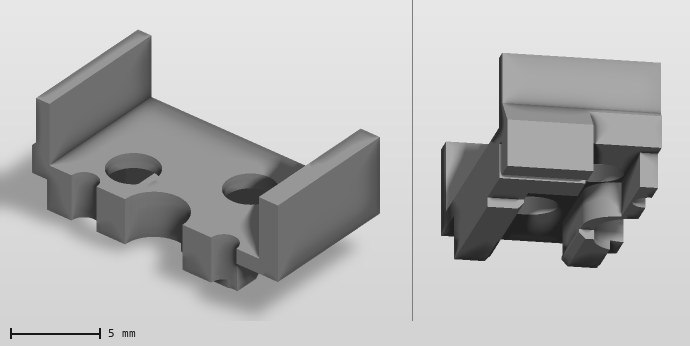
import cadquery as cq
import math

LENGTH = 18.8
WIDTH = 9.0
HEIGHT = 7.65

FLOOR_BOTTOM = 2.55
FLOOR_TOP = 3.55
WALL_LEFT = 1.43
WALL_LEFT_THICKNESS = 0.95
WALL_RIGHT_THICKNESS = 1.37

PAD_BOTTOM = 0.55
SHOULDER_BOTTOM = 3.27
SHOULDER_TOP = SHOULDER_BOTTOM + WALL_LEFT
FOOT_WIDTH = 1.6
FOOT_FRONT = 4.12
RECESS_DEPTH = 1.15

PAD_LEFT = 2.2
PAD_RIGHT = 15.17
FRONT_STRIP_DEPTH = 1.02
FRONT_PAD_BACK = 2.84
FRONT_ROUND_X = 9.4
REAR_PAD_FRONT = 6.92
REAR_CORNER_RIGHT = 4.51

HOLE_DIAMETER = 3.2
HOLE_CENTERS = [(6.22, 2.7), (12.6, 5.2)]
BAY_X = 9.89
BAY_RADIUS = 2.07
NOTCH_RADIUS = 0.9
NOTCH_OFFSET = 5.02

CATCH_FRONT = 0.83
CATCH_FRONT_TIP = 2.9
CATCH_REAR_TIP = REAR_PAD_FRONT
CATCH_FRONT_LEFT = 10.19
CATCH_REAR_LEFT = 5.7
CATCH_CHAMFER = 0.35


def box(x0, x1, y0, y1, z0, z1):
    """Box between opposite corner coordinates."""
    return cq.Workplane("XY").box(x1 - x0, y1 - y0, z1 - z0, centered=False).translate((x0, y0, z0))


def upright_cylinder(x, y, radius, z0, z1):
    return cq.Workplane("XY", origin=(x, y, z0)).circle(radius).extrude(z1 - z0)


def make_tray():
    """U-shaped section with the sloped left shoulder, along the full width."""
    left_inner = WALL_LEFT + WALL_LEFT_THICKNESS
    right_inner = LENGTH - WALL_RIGHT_THICKNESS
    outline = [
        (0, FLOOR_BOTTOM),
        (LENGTH, FLOOR_BOTTOM),
        (LENGTH, HEIGHT),
        (right_inner, HEIGHT),
        (right_inner, FLOOR_TOP),
        (left_inner, FLOOR_TOP),
        (left_inner, HEIGHT),
        (WALL_LEFT, HEIGHT),
        (WALL_LEFT, SHOULDER_TOP),
        (0, SHOULDER_BOTTOM),
    ]
    tray = cq.Workplane("XZ").polyline(outline).close().extrude(-WIDTH)
    return tray.cut(box(0, RECESS_DEPTH, 0, FOOT_FRONT, 0, HEIGHT))


def make_pads():
    """Foot and pads that carry the floor."""
    z_range = (PAD_BOTTOM, FLOOR_BOTTOM)
    foot = box(0, FOOT_WIDTH, FOOT_FRONT, WIDTH, *z_range)
    front_strip = box(PAD_LEFT, PAD_RIGHT, 0, FRONT_STRIP_DEPTH, *z_range)
    front_pad = box(FRONT_ROUND_X, PAD_RIGHT, 0, FRONT_PAD_BACK, *z_range)
    round_radius = FRONT_PAD_BACK - FRONT_STRIP_DEPTH
    round_end = upright_cylinder(FRONT_ROUND_X, FRONT_STRIP_DEPTH, round_radius, *z_range)
    round_end = round_end.intersect(box(0, LENGTH, 0, WIDTH, *z_range))
    rear_pad = box(PAD_LEFT, PAD_RIGHT, REAR_PAD_FRONT, WIDTH, *z_range)
    rear_corner = box(PAD_LEFT, REAR_CORNER_RIGHT, FOOT_FRONT, WIDTH, *z_range)
    return foot.union(front_strip).union(front_pad).union(round_end).union(rear_pad).union(rear_corner)


def make_catch(x0, y_root, y_tip):
    """Bar below a pad, with its lower tip edge chamfered; reaches the right end of the pads."""
    inward = math.copysign(CATCH_CHAMFER, y_root - y_tip)
    outline = [
        (y_root, 0),
        (y_tip + inward, 0),
        (y_tip, CATCH_CHAMFER),
        (y_tip, PAD_BOTTOM),
        (y_root, PAD_BOTTOM),
    ]
    section = cq.Workplane("YZ", origin=(x0, 0, 0)).polyline(outline).close()
    return section.extrude(PAD_RIGHT - x0)


def make_openings():
    """Through holes and the half-round bay and notches in the front edge."""
    openings = upright_cylinder(BAY_X, 0, BAY_RADIUS, 0, HEIGHT)
    for x in (BAY_X - NOTCH_OFFSET, BAY_X + NOTCH_OFFSET):
        openings = openings.union(upright_cylinder(x, 0, NOTCH_RADIUS, 0, HEIGHT))
    for x, y in HOLE_CENTERS:
        openings = openings.union(upright_cylinder(x, y, HOLE_DIAMETER / 2, 0, HEIGHT))
    return openings


body = make_tray().union(make_pads())
body = body.union(make_catch(CATCH_FRONT_LEFT, CATCH_FRONT, CATCH_FRONT_TIP))
body = body.union(make_catch(CATCH_REAR_LEFT, WIDTH, CATCH_REAR_TIP))
result = body.cut(make_openings())